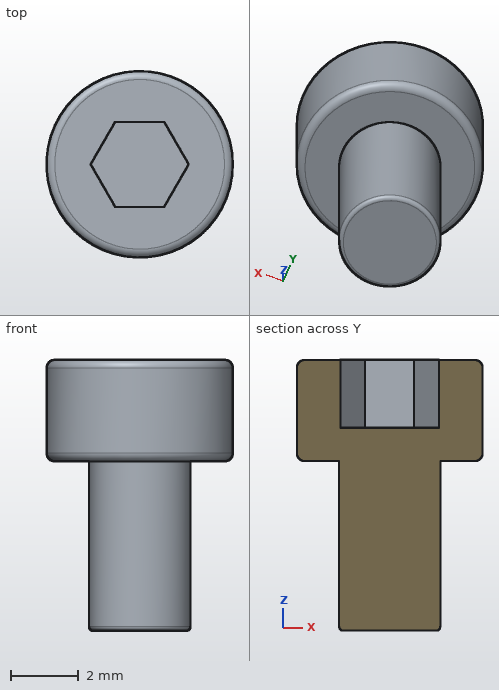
import cadquery as cq
import math

total_length = 8.0
head_height = 3.0
head_diameter = 5.5
head_edge_radius = 0.25
shank_diameter = head_height
shank_length = total_length - head_height
shank_edge_radius = 0.13
socket_across_flats = 2.5
socket_depth = head_height * 2 / 3


def make_head():
    """Cylindrical head with both rims rounded."""
    head = cq.Workplane("XY").circle(head_diameter / 2).extrude(head_height)
    return head.edges("%CIRCLE").fillet(head_edge_radius)


def make_shank():
    """Plain shank below the head with a rounded tip."""
    shank = cq.Workplane("XY").circle(shank_diameter / 2).extrude(-shank_length)
    return shank.faces("<Z").edges().fillet(shank_edge_radius)


def make_socket():
    """Hexagonal key socket, corners on the X axis, sunk from the head top."""
    across_corners = socket_across_flats / math.cos(math.pi / 6)
    return (
        cq.Workplane("XY")
        .workplane(offset=head_height)
        .polygon(6, across_corners)
        .extrude(-socket_depth)
    )


result = make_head().union(make_shank()).cut(make_socket())